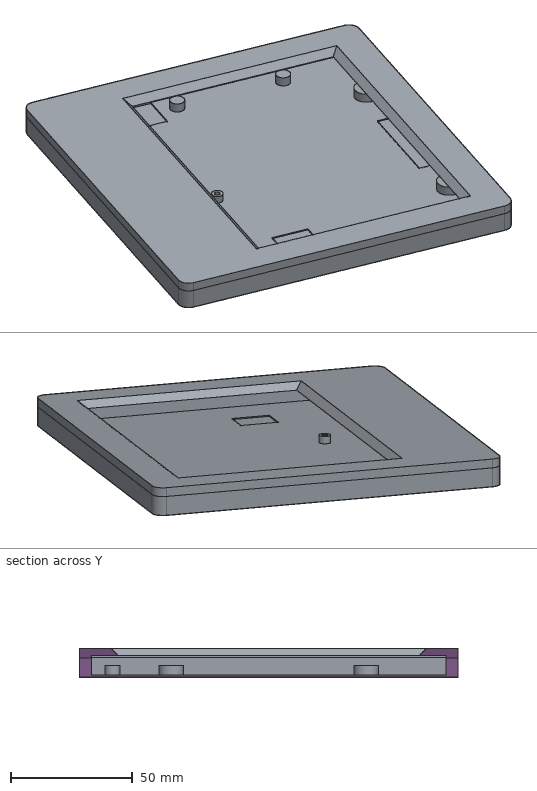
import cadquery as cq

LENGTH = 155.2
WIDTH = 150.2
HEIGHT = 11.8
CORNER_RADIUS = 4.7

LID_THICKNESS = 3.7
TRAY_HEIGHT = HEIGHT - LID_THICKNESS

FLOOR = 1.0
WALL = 5.0
POCKET_DEPTH = 0.5
CAVITY_LEFT = WALL - LENGTH / 2
CAVITY_BACK = WIDTH / 2 - WALL

WINDOW_Y = 12.5
WINDOW_LENGTH = 123.2
WINDOW_WIDTH = 91.0
LID_PLATE = 3.0
WINDOW_BEVEL = LID_PLATE

SIDE_POCKET_LEFT = 43.8
SIDE_POCKET_RIGHT = 55.4
SIDE_POCKET_FRONT = -19.0
SIDE_POCKET_BACK = -2.8
BACK_POCKET_LENGTH = 40.7
BACK_POCKET_FRONT = 58.7
CORNER_POCKET_RIGHT = -56.5
CORNER_POCKET_BACK = -19.4
CORNER_POCKET_WIDTH = SIDE_POCKET_BACK - SIDE_POCKET_FRONT

POST_HEIGHT = 3.9
BACK_POST_DIAMETER = 10.2
BACK_POST_SPACING = 80.0
BACK_POST_Y = 62.9
LEFT_POST_DIAMETER = 6.2
LEFT_POST_SPACING = 48.0
LEFT_POST_X = -64.1

BOSS_X = 7.6
BOSS_Y = -26.8
BOSS_DIAMETER = 4.8
BOSS_HOLE_DIAMETER = 2.3
BOSS_HEIGHT = 3.1


def rounded_plate(bottom, thickness):
    """Plate with the outer outline and rounded vertical corners."""
    plate = cq.Workplane("XY").workplane(offset=bottom).rect(LENGTH, WIDTH).extrude(thickness)
    return plate.edges("|Z").fillet(CORNER_RADIUS)


def box_between(x_min, x_max, y_min, y_max, z_min, z_max):
    """Box given by its limits along each axis."""
    size = (x_max - x_min, y_max - y_min, z_max - z_min)
    return cq.Workplane("XY").box(*size, centered=False).translate((x_min, y_min, z_min))


def floor_pocket(x_min, x_max, y_min, y_max):
    """Cutter for a shallow rectangular pocket in the tray floor."""
    return box_between(x_min, x_max, y_min, y_max, FLOOR - POCKET_DEPTH, FLOOR)


def post(x, y, diameter, height):
    """Round post standing on the tray floor."""
    return cq.Workplane("XY").workplane(offset=FLOOR).center(x, y).circle(diameter / 2).extrude(height)


def make_tray():
    """Open tray with floor pockets, posts and a drilled boss."""
    tray = rounded_plate(0, TRAY_HEIGHT)
    tray = tray.cut(box_between(CAVITY_LEFT, -CAVITY_LEFT, -CAVITY_BACK, CAVITY_BACK, FLOOR, TRAY_HEIGHT))

    tray = tray.cut(floor_pocket(SIDE_POCKET_LEFT, SIDE_POCKET_RIGHT, SIDE_POCKET_FRONT, SIDE_POCKET_BACK))
    tray = tray.cut(
        floor_pocket(-BACK_POCKET_LENGTH / 2, BACK_POCKET_LENGTH / 2, BACK_POCKET_FRONT, CAVITY_BACK)
    )
    corner_pocket_front = CORNER_POCKET_BACK - CORNER_POCKET_WIDTH
    tray = tray.cut(floor_pocket(CAVITY_LEFT, CORNER_POCKET_RIGHT, corner_pocket_front, CORNER_POCKET_BACK))

    for side in (-1, 1):
        back_post_x = side * BACK_POST_SPACING / 2
        left_post_y = WINDOW_Y + side * LEFT_POST_SPACING / 2
        tray = tray.union(post(back_post_x, BACK_POST_Y, BACK_POST_DIAMETER, POST_HEIGHT))
        tray = tray.union(post(LEFT_POST_X, left_post_y, LEFT_POST_DIAMETER, POST_HEIGHT))

    tray = tray.union(post(BOSS_X, BOSS_Y, BOSS_DIAMETER, BOSS_HEIGHT))
    boss_hole = cq.Workplane("XY").center(BOSS_X, BOSS_Y).circle(BOSS_HOLE_DIAMETER / 2)
    return tray.cut(boss_hole.extrude(TRAY_HEIGHT))


def make_lid():
    """Frame with a recessed underside, its window opening out towards the top face."""
    lid = rounded_plate(TRAY_HEIGHT, LID_THICKNESS)
    plate_underside = HEIGHT - LID_PLATE
    lid = lid.cut(
        box_between(CAVITY_LEFT, -CAVITY_LEFT, -CAVITY_BACK, CAVITY_BACK, TRAY_HEIGHT, plate_underside)
    )
    window = (
        cq.Workplane("XY")
        .workplane(offset=plate_underside)
        .center(0, WINDOW_Y)
        .rect(WINDOW_LENGTH, WINDOW_WIDTH)
        .workplane(offset=LID_PLATE)
        .rect(WINDOW_LENGTH + 2 * WINDOW_BEVEL, WINDOW_WIDTH + 2 * WINDOW_BEVEL)
        .loft(ruled=True)
    )
    return lid.cut(window)


tray = make_tray()
lid = make_lid()

result = cq.Compound.makeCompound([tray.val(), lid.val()])